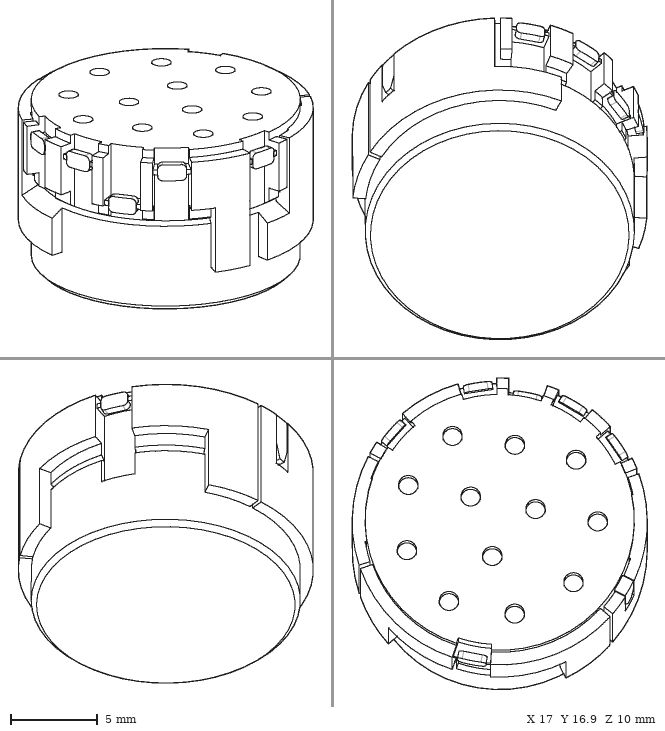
import cadquery as cq
import math

CORE_R = 7.75
CORE_HEIGHT = 10.0
NECK_R = 7.41
FOOT_CHAMFER = 0.3
NECK_Z = 5.47
GROOVE_HALF = 0.2
GROOVE_TOP = NECK_Z + GROOVE_HALF

SLEEVE_R = 8.5
SLEEVE_ROOT_R = 7.58
SLEEVE_BOTTOM = 2.52
COLLAR_BOTTOM = 6.51
SLEEVE_TOP = 9.5
FLANK_SLOPE = GROOVE_HALF / (CORE_R - NECK_R)

FULL_WALLS = [(-52.8, -37.8), (-15.7, 52.2), (127.8, 210.6)]
LEDGES = [(-29, -15.7), (210.6, 237.2)]
SLITS = [(-17.3, -15.7), (28.9, 30.4), (149.6, 151.1), (210.6, 212.8)]

RELIEFS = [(-15.7, -8), (20, 28.9), (151.1, 175), (203, 210.6)]
RELIEF_GAP = 0.08

HIGH_PAD_Z = 8.84
LOW_PAD_Z = 6.65
NOTCHES = [(90, HIGH_PAD_Z), (225, HIGH_PAD_Z), (250, HIGH_PAD_Z),
           (270, LOW_PAD_Z), (290, HIGH_PAD_Z), (330, HIGH_PAD_Z)]
NOTCH_HALF_ANGLE = 7.6
NEXT_NOTCHES = [angle for angle, _ in NOTCHES[1:]] + [NOTCHES[0][0] + 360]
RIB_ARCS = [(notch[0] + NOTCH_HALF_ANGLE, following - NOTCH_HALF_ANGLE)
            for notch, following in zip(NOTCHES, NEXT_NOTCHES)]
KEYWAY_ANGLE = 90
KEYWAY_BOTTOM = 3.75

PAD_INNER = 7.9
PAD_OUTER = 8.36
PAD_WIDTH = 1.67
PAD_HEIGHT = 0.99
PAD_ROUND = 0.29
WEB_OUTER = 8.3
WEB_HEIGHT = 0.3

SLOT_ANGLE = 163.2
SLOT_WIDTH = 1.07
SLOT_BOTTOM = 5.98
TAB_OUTER = 8.47
TAB_CLEARANCE = 0.03
TAB_TAPER_Z = 7.48
TAB_TIP_WIDTH = 0.4

HOLE_R = 0.56
HOLE_DEPTH = 0.55
OUTER_RING_R = 5.65
OUTER_RING_START = 30
OUTER_RING_STEP = 40
INSET_ANGLE = 270
INSET_HOLE_R = 4.5
INNER_HOLES = [(0, 2.21), (-1.9, -1.0), (1.9, -1.0)]

CUT_MARGIN = 0.34


def swept(profile, start, end):
    """Turn a closed (radius, z) profile about Z from one angle to another."""
    solid = cq.Workplane("XZ").polyline(profile).close().revolve(end - start, (0, 0), (0, 1))
    return solid.rotate((0, 0, 0), (0, 0, 1), start)


def ring_sector(inner, outer, bottom, top, start, end):
    profile = [(inner, bottom), (outer, bottom), (outer, top), (inner, top)]
    return swept(profile, start, end)


def radial_bar(inner, outer, width, bottom, top, angle):
    """Straight-sided block pointing out from the axis at an angle."""
    bar = cq.Workplane("XY").box(outer - inner, width, top - bottom, centered=(False, True, False))
    return bar.translate((inner, 0, bottom)).rotate((0, 0, 0), (0, 0, 1), angle)


def make_base():
    """Turned base with the ledges, topped by one cone that falls away from the neck."""
    profile = [
        (0, 0),
        (CORE_R - FOOT_CHAMFER, 0),
        (CORE_R, FOOT_CHAMFER),
        (CORE_R, NECK_Z),
        (0, NECK_Z),
    ]
    base = swept(profile, 0, 360)
    for start, end in LEDGES:
        base = base.union(ring_sector(SLEEVE_ROOT_R, SLEEVE_R, SLEEVE_BOTTOM, NECK_Z, start, end))
    cone_end_r = SLEEVE_R + CUT_MARGIN
    above_cone = [
        (NECK_R, NECK_Z),
        (cone_end_r, NECK_Z - FLANK_SLOPE * (cone_end_r - NECK_R)),
        (cone_end_r, NECK_Z + CUT_MARGIN),
        (NECK_R, NECK_Z + CUT_MARGIN),
    ]
    return base.cut(swept(above_cone, 0, 360))


def make_core():
    neck = cq.Workplane("XY").circle(NECK_R).extrude(CORE_HEIGHT - NECK_Z)
    keyway = ring_sector(NECK_R, SLEEVE_R, KEYWAY_BOTTOM, CORE_HEIGHT,
                         KEYWAY_ANGLE - NOTCH_HALF_ANGLE, KEYWAY_ANGLE + NOTCH_HALF_ANGLE)
    return make_base().union(neck.translate((0, 0, NECK_Z))).cut(keyway)


def make_rim():
    """Widen the neck to the full core radius between the notches."""
    profile = [
        (NECK_R, NECK_Z),
        (CORE_R, GROOVE_TOP),
        (CORE_R, CORE_HEIGHT),
        (NECK_R, CORE_HEIGHT),
    ]
    rim = cq.Workplane("XY")
    for start, end in RIB_ARCS:
        rim = rim.union(swept(profile, start, end))
    return rim


def make_sleeve():
    """Collar between the notches and the walls below it, with slits, reliefs and the side slot."""
    sleeve = cq.Workplane("XY")
    for start, end in RIB_ARCS:
        sleeve = sleeve.union(ring_sector(SLEEVE_ROOT_R, SLEEVE_R, COLLAR_BOTTOM, SLEEVE_TOP, start, end))
    for start, end in FULL_WALLS:
        sleeve = sleeve.union(
            ring_sector(SLEEVE_ROOT_R, SLEEVE_R, SLEEVE_BOTTOM, COLLAR_BOTTOM, start, end))
    cut_inner = SLEEVE_ROOT_R - CUT_MARGIN
    cut_outer = SLEEVE_R + CUT_MARGIN
    for start, end in SLITS:
        sleeve = sleeve.cut(ring_sector(cut_inner, cut_outer, SLEEVE_BOTTOM, SLEEVE_TOP, start, end))
    for start, end in RELIEFS:
        sleeve = sleeve.cut(
            ring_sector(cut_inner, CORE_R + RELIEF_GAP, SLOT_BOTTOM, SLEEVE_TOP, start, end))
    return sleeve.cut(
        radial_bar(cut_inner, cut_outer, SLOT_WIDTH, SLOT_BOTTOM, SLEEVE_TOP, SLOT_ANGLE))


def make_pad(angle, height):
    """Rounded pad on a thin web that fills the notch."""
    pad = radial_bar(PAD_INNER, SLEEVE_R, PAD_WIDTH, -PAD_HEIGHT / 2, PAD_HEIGHT / 2, 0)
    pad = pad.edges("|X").fillet(PAD_ROUND)
    pad = pad.intersect(cq.Workplane("XY").circle(PAD_OUTER).extrude(PAD_HEIGHT, both=True))
    web = ring_sector(NECK_R, WEB_OUTER, -WEB_HEIGHT / 2, WEB_HEIGHT / 2,
                      -NOTCH_HALF_ANGLE, NOTCH_HALF_ANGLE)
    return pad.union(web).rotate((0, 0, 0), (0, 0, 1), angle).translate((0, 0, height))


def make_tab():
    half_width = SLOT_WIDTH / 2 - TAB_CLEARANCE
    outline = [
        (-half_width, SLEEVE_TOP),
        (-half_width, TAB_TAPER_Z),
        (-TAB_TIP_WIDTH / 2, COLLAR_BOTTOM),
        (TAB_TIP_WIDTH / 2, COLLAR_BOTTOM),
        (half_width, TAB_TAPER_Z),
        (half_width, SLEEVE_TOP),
    ]
    tab = cq.Workplane("YZ").workplane(offset=NECK_R).polyline(outline).close().extrude(SLEEVE_R - NECK_R)
    tab = tab.intersect(cq.Workplane("XY").circle(TAB_OUTER).extrude(CORE_HEIGHT))
    return tab.rotate((0, 0, 0), (0, 0, 1), SLOT_ANGLE)


def hole_centres():
    centres = list(INNER_HOLES)
    for angle in range(OUTER_RING_START, 360, OUTER_RING_STEP):
        radius = INSET_HOLE_R if angle == INSET_ANGLE else OUTER_RING_R
        turn = math.radians(angle)
        centres.append((radius * math.cos(turn), radius * math.sin(turn)))
    return centres


result = make_core().union(make_rim()).union(make_sleeve()).union(make_tab())
for notch_angle, pad_z in NOTCHES:
    result = result.union(make_pad(notch_angle, pad_z))

holes = cq.Workplane("XY").workplane(offset=CORE_HEIGHT).pushPoints(hole_centres())
result = result.cut(holes.circle(HOLE_R).extrude(-HOLE_DEPTH))